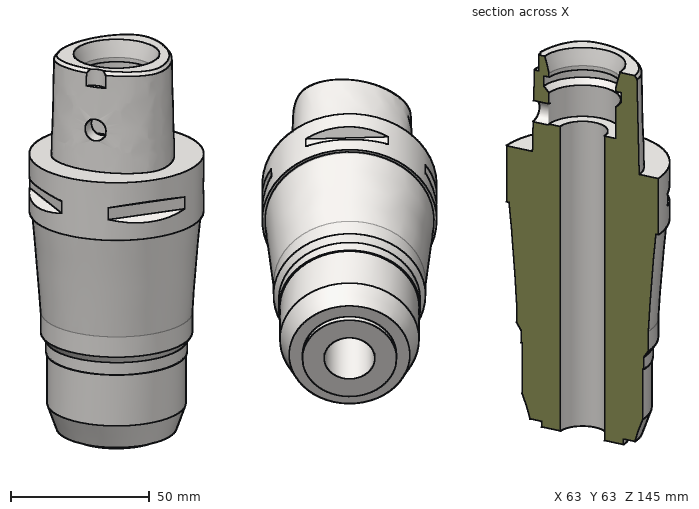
import cadquery as cq
import math

total_height = 145.0
flange_top = 106.9
flange_bottom = 84.8
collar_height = 0.5
sleeve_taper_end = 46.5
sleeve_bottom = 38.7
neck_top = 36.0
neck_bottom = 31.2
nut_bottom = 11.6
nose_face = 2.2

flange_radius = 31.5
sleeve_top_radius = 30.5
sleeve_radius = 27.4
neck_top_radius = 25.5
nut_radius = 25.1
nut_nose_radius = 21.8
nose_ring_radius = 17.0

shank_radius = 22.2
shank_lobe = 1.4
shank_taper = 1 / 40
shank_edge_height = 1.3
shank_edge_width = 1.0
outline_points = 48

through_radius = 9.1
bore_mouth_radius = 15.5
bore_radius = 13.8
mouth_depth = 6.2
groove_radius = 16.0
groove_start_depth = 8.0
groove_floor_depth = 11.7
bore_depth = 26.1
groove_end_depth = groove_floor_depth + groove_radius - bore_radius

notch_radius = 5.2
notch_depth = 6.2
notch_wall = 18.1
side_hole_radius = 4.0
side_hole_height = 122.5
side_hole_floor = 14.0

groove_count = 4
gripper_height = 95.0
gripper_floor = 27.7
gripper_floor_width = 4.5
gripper_mouth_width = 7.8


def lobed_wire(mean_radius, height):
    """Closed three-lobed outline whose flank offsets keep the same lobe size, with one lobe on +Y."""

    def point(turn):
        angle = 2 * math.pi * turn
        along = mean_radius * math.cos(angle) + shank_lobe * (2 * math.cos(2 * angle) - math.cos(4 * angle))
        across = mean_radius * math.sin(angle) - shank_lobe * (2 * math.sin(2 * angle) + math.sin(4 * angle))
        return (-across, along)

    points = [point(i / outline_points) for i in range(outline_points)]
    outline = cq.Workplane("XY", origin=(0, 0, height)).spline(points, periodic=True).close()
    return outline.val()


def make_shank():
    """Tapered shank with a bevel around its top edge."""
    edge_start = total_height - shank_edge_height
    edge_radius = shank_radius - shank_taper * (edge_start - flange_top)
    base = lobed_wire(shank_radius, flange_top)
    shoulder = lobed_wire(edge_radius, edge_start)
    tip = lobed_wire(edge_radius - shank_edge_width, total_height)
    taper = cq.Solid.makeLoft([base, shoulder], True)
    bevel = cq.Solid.makeLoft([shoulder, tip], True)
    return cq.Workplane(taper).union(cq.Workplane(bevel))


def make_body():
    """Turned flange, tapered sleeve, nut and nose ring."""
    profile = [
        (0, 0),
        (nose_ring_radius, 0),
        (nose_ring_radius, nose_face),
        (nut_nose_radius, nose_face),
        (nut_radius, nut_bottom),
        (nut_radius, neck_bottom),
        (neck_top_radius, neck_bottom),
        (neck_top_radius, neck_top),
        (sleeve_radius, sleeve_bottom),
        (sleeve_radius, sleeve_taper_end),
        (sleeve_top_radius, flange_bottom - collar_height),
        (sleeve_top_radius, flange_bottom),
        (flange_radius, flange_bottom),
        (flange_radius, flange_top),
        (0, flange_top),
    ]
    return cq.Workplane("XZ").polyline(profile).close().revolve(360, (0, 0), (0, 1))


def make_bore():
    """Conical mouth, clamping groove, counterbore and through hole as one turned cutter."""
    profile = [
        (0, 0),
        (through_radius, 0),
        (through_radius, total_height - bore_depth),
        (bore_radius, total_height - bore_depth),
        (bore_radius, total_height - groove_end_depth),
        (groove_radius, total_height - groove_floor_depth),
        (groove_radius, total_height - groove_start_depth),
        (bore_radius, total_height - groove_start_depth),
        (bore_radius, total_height - mouth_depth),
        (bore_mouth_radius, total_height),
        (0, total_height),
    ]
    return cq.Workplane("XZ").polyline(profile).close().revolve(360, (0, 0), (0, 1))


def make_notch():
    """Round-backed notch in the top rim."""
    start = (0, -notch_wall - notch_radius, total_height - notch_depth)
    return cq.Workplane("XY", origin=start).circle(notch_radius).extrude(notch_depth)


def make_side_hole():
    """Flat-bottomed radial hole."""
    start = (0, -side_hole_floor, side_hole_height)
    return cq.Workplane("XZ", origin=start).circle(side_hole_radius).extrude(flange_radius - side_hole_floor)


def make_gripper_groove(angle):
    """Flat-floored groove with flared flanks, cut straight across the flange rim."""
    floor_half = gripper_floor_width / 2
    mouth_half = gripper_mouth_width / 2
    section = [
        (gripper_floor, -floor_half),
        (flange_radius, -mouth_half),
        (flange_radius, mouth_half),
        (gripper_floor, floor_half),
    ]
    groove = cq.Workplane("XZ").polyline(section).close().extrude(flange_radius, both=True)
    return groove.translate((0, 0, gripper_height)).rotate((0, 0, 0), (0, 0, 1), angle)


result = make_body().union(make_shank())
result = result.cut(make_bore()).cut(make_notch()).cut(make_side_hole())
for index in range(groove_count):
    result = result.cut(make_gripper_groove((index + 0.5) * 360 / groove_count))